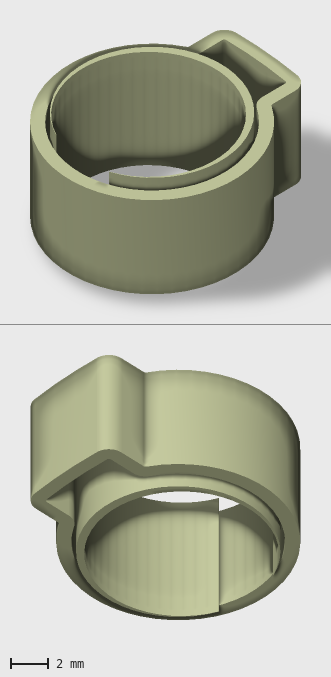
import cadquery as cq
import math

BAND_RADIUS = 6.45
BAND_HEIGHT = 6.48
WALL = 0.8
EAR_TOP = 8.34
EAR_HALF_WIDTH = 3.24
CROWN_RADIUS = 29.58
EAR_INNER_FILLET = 0.15
EAR_ROOT_FILLET = 0.15

LINER_RADIUS = 5.4
LINER_HEIGHT = 7.8
LINER_MAX_WALL = 0.5
LINER_GAP = 4.14


def cylinder(radius, height):
    """Cylinder on the common axis, centred on Z = 0."""
    return cq.Workplane("XY").circle(radius).extrude(height / 2, both=True)


def ear_block(half_width, crown_y, crown_radius, fillet):
    """Solid block from the band axis to a bulging crown, with rounded crown corners."""
    shoulder_drop = crown_radius - math.sqrt(crown_radius**2 - half_width**2)
    shoulder_y = crown_y - shoulder_drop
    return (
        cq.Workplane("XY")
        .moveTo(-half_width, 0)
        .lineTo(-half_width, shoulder_y)
        .threePointArc((0, crown_y), (half_width, shoulder_y))
        .lineTo(half_width, 0)
        .close()
        .extrude(BAND_HEIGHT / 2, both=True)
        .edges("|Z and (not <Y)")
        .fillet(fillet)
    )


def round_ear_roots(profile, round_radius, half_width, fillet):
    """Fillet the two upright edges where the ear sides meet the round part."""
    root_y = math.sqrt(round_radius**2 - half_width**2)
    root_zone = cq.selectors.BoxSelector(
        (-EAR_HALF_WIDTH - WALL, root_y - WALL, -BAND_HEIGHT),
        (EAR_HALF_WIDTH + WALL, root_y + WALL, BAND_HEIGHT),
    )
    return profile.edges("|Z").edges(root_zone).fillet(fillet)


def make_band():
    """Constant-wall strap: outer profile minus the same profile moved in by the wall."""
    bore_radius = BAND_RADIUS - WALL
    opening_half_width = EAR_HALF_WIDTH - WALL
    outside = cylinder(BAND_RADIUS, BAND_HEIGHT).union(
        ear_block(EAR_HALF_WIDTH, EAR_TOP, CROWN_RADIUS, EAR_INNER_FILLET + WALL)
    )
    inside = cylinder(bore_radius, BAND_HEIGHT).union(
        ear_block(opening_half_width, EAR_TOP - WALL, CROWN_RADIUS - WALL, EAR_INNER_FILLET)
    )
    outside = round_ear_roots(outside, BAND_RADIUS, EAR_HALF_WIDTH, EAR_ROOT_FILLET)
    inside = round_ear_roots(inside, bore_radius, opening_half_width, EAR_ROOT_FILLET + WALL)
    return outside.cut(inside)


def make_liner():
    """Crescent ring: its bore touches the outside circle at -Y, inside the gap."""
    bore_shift = LINER_MAX_WALL / 2
    bore = cylinder(LINER_RADIUS - bore_shift, LINER_HEIGHT).translate((0, -bore_shift, 0))
    gap = cq.Workplane("XY").box(LINER_GAP, LINER_RADIUS, LINER_HEIGHT).translate((0, -LINER_RADIUS, 0))
    return cylinder(LINER_RADIUS, LINER_HEIGHT).cut(gap.union(bore))


band = make_band()
liner = make_liner()

result = cq.Compound.makeCompound([band.val(), liner.val()])